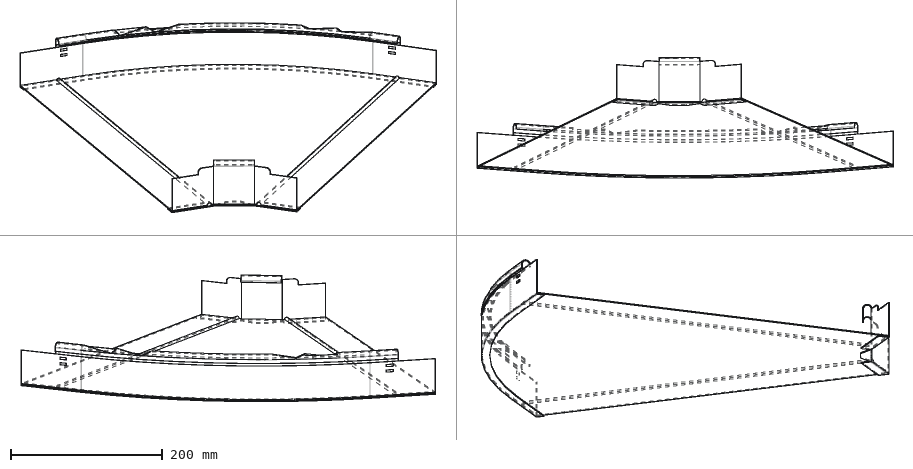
import cadquery as cq
import math


overall_length = 566.0
overall_height = 63.0
bend_angle = 45.0
outer_radius = 500.0
end_length = 90.0
sheet = 1.4

wall_height = 48.0
outer_flange = 11.5
inner_flange = 15.5

rail_radius = 6.0
rail_lip = 2.0
joint = 39.0
groove_width = 3.5
groove_depth = 1.0

inner_corner = 30.5
tab_end = 52.5
tab_round = 5.5
relief_angle = 15.0

bead_radius = 3.0
bead_gap = 3.0

slot_length = 9.5
slot_height = 3.0
slot_depth = 0.5
slot_distance = 27.0
slot_heights = (35.5, 43.0)

half_sine = math.sin(math.radians(bend_angle))
rail_centre = overall_height - rail_radius
inner_face = (overall_length - outer_radius) / half_sine - end_length
corner_slope = math.tan(math.radians(bend_angle / 4))
floor_top = 2 * sheet
cut_width = 4 * sheet


def far_side(shape):
    """Mirror image of a shape at the -Y end, carried to the other end of the bend."""
    return shape.mirror("XZ").rotate((0, 0, 0), (0, 0, 1), -bend_angle)


def far_point(x, y):
    """Mirror image of a point at the -Y end, carried to the other end of the bend."""
    angle = math.radians(-bend_angle)
    return (
        x * math.cos(angle) + y * math.sin(angle),
        x * math.sin(angle) - y * math.cos(angle),
    )


def arc_middle(radius):
    """Point halfway round the bend at the given radius."""
    angle = math.radians(180 - bend_angle / 2)
    return (radius * math.cos(angle), radius * math.sin(angle))


def outer_path(length):
    """Line, arc and line along the outer wall, running the given length past the bend."""
    return (
        cq.Workplane("XY")
        .moveTo(-outer_radius, -length)
        .lineTo(-outer_radius, 0)
        .threePointArc(arc_middle(outer_radius), far_point(-outer_radius, 0))
        .lineTo(*far_point(-outer_radius, -length))
    )


def inner_path(offset):
    """Points along the inner wall, moved towards the tray by the given offset."""
    x = inner_face - offset
    y = -inner_corner + offset * corner_slope
    return [(x, -end_length), (x, y), far_point(x, y), far_point(x, -end_length)]


def wall_profile(plane, inward, height, flange):
    """L-shaped section with a rounded outer bend; inward is +1 or -1 along the plane's x axis."""
    bend = sheet * (1 - math.sqrt(0.5))
    return (
        plane.moveTo(inward * sheet, 0)
        .lineTo(inward * flange, 0)
        .lineTo(inward * flange, sheet)
        .lineTo(inward * sheet, sheet)
        .lineTo(inward * sheet, height)
        .lineTo(0, height)
        .lineTo(0, sheet)
        .threePointArc((inward * bend, bend), (inward * sheet, 0))
        .close()
    )


def rolled_rail(sketch):
    """Continue a section from the wall's outer face over the half-round rail, down to the inner face."""
    return (
        sketch.lineTo(0, rail_centre)
        .threePointArc((rail_radius, overall_height), (2 * rail_radius, rail_centre))
        .lineTo(2 * rail_radius, rail_centre - rail_lip)
        .lineTo(2 * rail_radius - sheet, rail_centre - rail_lip)
        .lineTo(2 * rail_radius - sheet, rail_centre)
        .threePointArc((rail_radius, overall_height - sheet), (sheet, rail_centre))
    )


def floor_outline():
    radius = outer_radius - sheet
    corners = inner_path(sheet)
    return (
        cq.Workplane("XY", origin=(0, 0, sheet))
        .moveTo(*corners[0])
        .lineTo(-radius, -end_length)
        .lineTo(-radius, 0)
        .threePointArc(arc_middle(radius), far_point(-radius, 0))
        .lineTo(*far_point(-radius, -end_length))
        .lineTo(*corners[3])
        .lineTo(*corners[2])
        .lineTo(*corners[1])
        .close()
    )


def floor_bead():
    """Solid half-round bead across the floor at the -Y joint."""
    left = -outer_radius + sheet + bead_gap
    right = inner_face - sheet
    middle = -joint + bead_radius
    return (
        cq.Workplane("YZ", origin=(left, 0, 0))
        .moveTo(-joint, sheet)
        .lineTo(-joint, floor_top)
        .threePointArc((middle, floor_top + bead_radius), (middle + bead_radius, floor_top))
        .lineTo(middle + bead_radius, sheet)
        .close()
        .extrude(right - left)
    )


bead = floor_bead()
floor = floor_outline().extrude(sheet).union(bead).union(far_side(bead))


def outer_section_plane(length):
    return cq.Workplane("XZ", origin=(-outer_radius, -length, 0))


lower_section = wall_profile(outer_section_plane(end_length), 1, wall_height, outer_flange)
lower_wall = lower_section.sweep(outer_path(end_length))

groove_middle = wall_height + groove_width / 2
groove_top = wall_height + groove_width
rail_section = (
    outer_section_plane(joint)
    .moveTo(0, wall_height)
    .threePointArc((groove_depth, groove_middle), (0, groove_top))
)
rail_section = (
    rolled_rail(rail_section)
    .lineTo(sheet, groove_top)
    .threePointArc((sheet + groove_depth, groove_middle), (sheet, wall_height))
    .close()
)
rail = rail_section.sweep(outer_path(joint))
outer_wall = lower_wall.union(rail)

for height in slot_heights:
    slot = cq.Workplane("XY").box(2 * slot_depth, slot_length, slot_height)
    slot = slot.translate((-outer_radius, -slot_distance, height))
    outer_wall = outer_wall.cut(slot).cut(far_side(slot))


inner_plane = cq.Workplane("XZ", origin=(inner_face, -end_length, 0))
inner_wall = wall_profile(inner_plane, -1, rail_centre, inner_flange).sweep(
    cq.Workplane("XY").polyline(inner_path(0)), transition="right"
)

step_block = (
    cq.Workplane("YZ", origin=(inner_face - cut_width / 2, 0, 0))
    .moveTo(-end_length - sheet, wall_height)
    .lineTo(-tab_end, wall_height)
    .lineTo(-tab_end, rail_centre - tab_round)
    .radiusArc((-tab_end + tab_round, rail_centre), tab_round)
    .lineTo(-tab_end + tab_round, overall_height)
    .lineTo(-end_length - sheet, overall_height)
    .close()
    .extrude(cut_width)
)
inner_wall = inner_wall.cut(step_block).cut(far_side(step_block))

relief_corner = inner_path(sheet)[1]
relief_depth = 2 * inner_flange
relief_rise = relief_depth / math.tan(math.radians(relief_angle))
flange_relief = (
    cq.Workplane("XY")
    .moveTo(*relief_corner)
    .line(-relief_depth, 0)
    .line(0, relief_rise)
    .close()
    .extrude(sheet)
)
inner_wall = inner_wall.cut(flange_relief).cut(far_side(flange_relief))

corner_near, corner_far = inner_path(0)[1:3]
along = (corner_far[0] - corner_near[0], corner_far[1] - corner_near[1], 0)
across = (-along[1], along[0], 0)
rail_plane = cq.Workplane(cq.Plane(origin=(*corner_far, 0), xDir=across, normal=along))
inner_rail = rolled_rail(rail_plane.moveTo(0, rail_centre - rail_lip))
inner_rail = inner_rail.lineTo(sheet, rail_centre - rail_lip).close().extrude(-math.hypot(*along))
inner_wall = inner_wall.union(inner_rail)

result = cq.Compound.makeCompound([floor.val(), outer_wall.val(), inner_wall.val()])